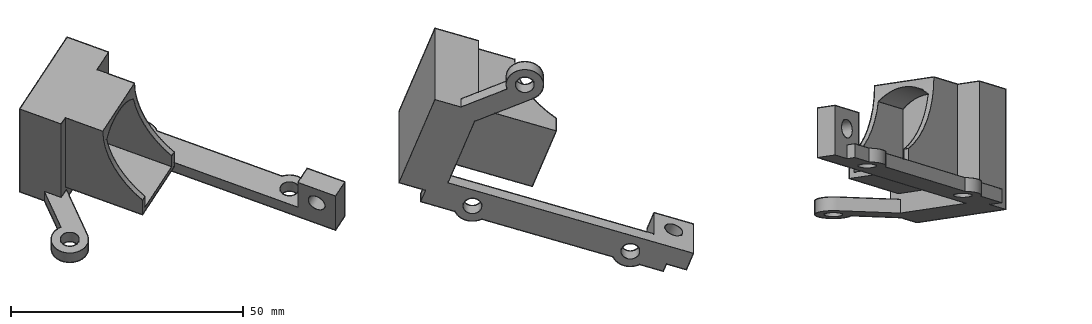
import cadquery as cq
import math

flange_depth = 9.95
flange_y_min = 14.1
flange_y_max = 37.4
height = 26.5

housing_y_min = 16.2
housing_y_max = 31.75
housing_bottom = 4.35
housing_end = 28.45
housing_top_end = 18.95
lip_top = 9.05
wall = 1.25

plate = 3.05
eye_radius = 4.0
hole_diameter = 4.0
near_eye_x = 16.95
far_eye_x = 53.0
bar_start = 6.1
bar_end = 61.45
bar_y_max = 40.6
bar_eye_y = 37.95
bar_y_min = bar_eye_y - eye_radius
arm_width = 4.7

lug_start = 56.95
lug_end = 66.0
lug_thickness = 4.6
lug_height = 10.95
lug_hole_z = 6.6


def block(x0, x1, y0, y1, z0, z1):
    """Axis-aligned box between two corners."""
    return cq.Workplane("XY").box(x1 - x0, y1 - y0, z1 - z0, centered=False).translate((x0, y0, z0))


def upright_cylinder(x, y, radius):
    """Cylinder through the plate thickness."""
    return cq.Workplane("XY").center(x, y).circle(radius).extrude(plate)


def make_housing():
    """Box with a concave front; the arc leaves the top face vertically."""
    run = housing_end - housing_top_end
    drop = height - lip_top
    arc_radius = (run**2 + drop**2) / (2 * run)
    half_angle = math.asin(drop / arc_radius) / 2
    arc_mid = (
        housing_top_end + arc_radius * (1 - math.cos(half_angle)),
        height - arc_radius * math.sin(half_angle),
    )
    return (
        cq.Workplane("XZ", origin=(0, housing_y_max, 0))
        .moveTo(flange_depth, housing_bottom)
        .lineTo(housing_end, housing_bottom)
        .lineTo(housing_end, lip_top)
        .threePointArc(arc_mid, (housing_top_end, height))
        .lineTo(flange_depth, height)
        .close()
        .extrude(housing_y_max - housing_y_min)
    )


def make_cavity():
    """Motor bore with flat sides and floor and an arched roof, all one wall from the outside."""
    bore_radius = (height - housing_bottom) / 2 - wall
    bore_y = (housing_y_min + housing_y_max) / 2
    bore_z = (height + housing_bottom) / 2
    bore = (
        cq.Workplane("YZ", origin=(flange_depth, bore_y, bore_z))
        .circle(bore_radius)
        .extrude(housing_end - flange_depth)
    )
    side_y_min = housing_y_min + wall
    side_y_max = housing_y_max - wall
    lower_half = block(flange_depth, housing_end, side_y_min, side_y_max, housing_bottom + wall, bore_z)
    upper_half = block(flange_depth, housing_end, side_y_min, side_y_max, bore_z, height)
    return lower_half.union(bore.intersect(upper_half))


def make_diagonal_arm():
    """Arm at 45 degrees from the flange, its outer edge tangent to the eye."""
    outer_sum = near_eye_x + eye_radius + eye_radius * math.sqrt(2)
    inner_sum = outer_sum - arm_width * math.sqrt(2)
    inner_start_x = inner_sum - flange_y_min
    tangent_offset = eye_radius / math.sqrt(2)
    root_y = outer_sum - flange_depth
    return (
        cq.Workplane("XY")
        .moveTo(inner_start_x, flange_y_min)
        .lineTo(inner_sum - eye_radius, eye_radius)
        .lineTo(near_eye_x, eye_radius)
        .lineTo(near_eye_x + tangent_offset, eye_radius + tangent_offset)
        .lineTo(flange_depth, root_y)
        .lineTo(inner_start_x, root_y)
        .close()
        .extrude(plate)
    )


def make_lug():
    """Upright block with a cross hole along Y."""
    lug = block(lug_start, lug_end, bar_y_min, bar_y_min + lug_thickness, 0, lug_height)
    lug_hole = (
        cq.Workplane("XZ", origin=((lug_start + lug_end) / 2, bar_y_min, lug_hole_z))
        .circle(hole_diameter / 2)
        .extrude(-lug_thickness)
    )
    return lug.cut(lug_hole)


flange = block(0, flange_depth, flange_y_min, flange_y_max, 0, height)
bar = block(bar_start, bar_end, bar_y_min, bar_y_max, 0, plate)
result = flange.union(make_housing().cut(make_cavity())).union(bar)
result = result.union(make_diagonal_arm()).union(make_lug())

eye_centers = [(near_eye_x, bar_eye_y), (far_eye_x, bar_eye_y), (near_eye_x, eye_radius)]
for eye_x, eye_y in eye_centers:
    result = result.union(upright_cylinder(eye_x, eye_y, eye_radius))
for eye_x, eye_y in eye_centers:
    result = result.cut(upright_cylinder(eye_x, eye_y, hole_diameter / 2))